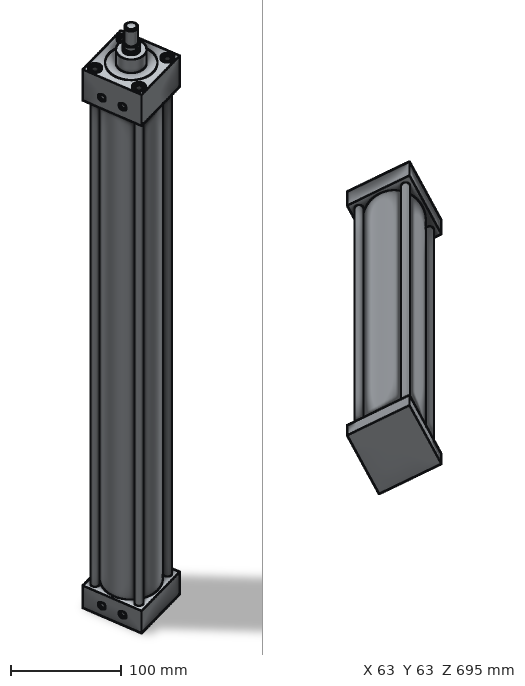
import cadquery as cq
import math

TOTAL_LENGTH = 695.0
HEAD_SIDE = 63.0
REAR_HEAD_TOP = 27.0
FRONT_HEAD_BOTTOM = 613.0
FRONT_HEAD_TOP = 651.0
NOSE_TOP = 667.0

BARREL_RADIUS = 28.5
TIE_ROD_RADIUS = 4.0
TIE_ROD_OFFSET = 23.5

NOSE_RADIUS = 14.0
RECESS_RADIUS = 23.5
RECESS_DEPTH = 0.35

MOUNTING_RADIUS = 3.5
MOUNTING_CHAMFER = 1.05
MOUNTING_DEPTH = 10.5
COUNTERBORE_RADIUS = 6.0
COUNTERBORE_DEPTH = 1.0

PORT_RADIUS = 3.0
PORT_CHAMFER = 1.5
PORT_DEPTH = 8.0
PORT_OFFSET = 11.0
FRONT_PORT_Z = 626.5
REAR_PORT_Z = 12.5

DRILL_POINT_ANGLE = 118.0

ROD_RADIUS = 8.0
ROD_BOTTOM = FRONT_HEAD_BOTTOM
GROOVE_RADIUS = 7.5
GROOVE_BOTTOM = 669.0
FLAT_BOTTOM = 671.0
ACROSS_FLATS = 14.5
SHOULDER_Z = 676.0
STUD_RADIUS = 6.0
STUD_CHAMFER = 1.5


def square_block(bottom, top):
    """Square head block on the Z axis."""
    return cq.Workplane("XY", origin=(0, 0, bottom)).rect(HEAD_SIDE, HEAD_SIDE).extrude(top - bottom)


def cylinder(radius, bottom, top):
    """Round cylinder on the Z axis."""
    return cq.Workplane("XY", origin=(0, 0, bottom)).circle(radius).extrude(top - bottom)


def drilled_hole(radius, chamfer, depth):
    """Cutter going down from the origin, with a chamfered mouth and a conical end."""
    tip = depth + radius / math.tan(math.radians(DRILL_POINT_ANGLE / 2))
    profile = [(0, 0), (radius + chamfer, 0), (radius, -chamfer), (radius, -depth), (0, -tip)]
    return cq.Workplane("XZ").polyline(profile).close().revolve(360, (0, 0, 0), (0, 1, 0))


def tie_rod_positions():
    """Centres of the four tie rods in XY."""
    return [(x, y) for x in (-TIE_ROD_OFFSET, TIE_ROD_OFFSET) for y in (-TIE_ROD_OFFSET, TIE_ROD_OFFSET)]


def make_heads_and_barrel():
    """Both square heads, joined by the barrel and the tie rods."""
    heads = square_block(0, REAR_HEAD_TOP).union(square_block(FRONT_HEAD_BOTTOM, FRONT_HEAD_TOP))
    joined = heads.union(cylinder(BARREL_RADIUS, REAR_HEAD_TOP, FRONT_HEAD_BOTTOM))
    tie_rod = cylinder(TIE_ROD_RADIUS, REAR_HEAD_TOP, FRONT_HEAD_BOTTOM)
    for x, y in tie_rod_positions():
        joined = joined.union(tie_rod.translate((x, y, 0)))
    return joined


def add_nose(housing):
    """Recess the top of the front head and raise the gland nose from the recess floor."""
    floor = FRONT_HEAD_TOP - RECESS_DEPTH
    recessed = housing.cut(cylinder(RECESS_RADIUS, floor, FRONT_HEAD_TOP))
    return recessed.union(cylinder(NOSE_RADIUS, floor, NOSE_TOP))


def cut_mounting_holes(housing):
    """Four chamfered holes going down into the front head, each from a shallow counterbore."""
    seat = FRONT_HEAD_TOP - COUNTERBORE_DEPTH
    counterbore = cylinder(COUNTERBORE_RADIUS, seat, FRONT_HEAD_TOP)
    hole = drilled_hole(MOUNTING_RADIUS, MOUNTING_CHAMFER, MOUNTING_DEPTH)
    for x, y in tie_rod_positions():
        housing = housing.cut(counterbore.translate((x, y, 0)))
        housing = housing.cut(hole.translate((x, y, seat)))
    return housing


def cut_ports(housing):
    """Two chamfered ports in the -Y face of each head."""
    port = drilled_hole(PORT_RADIUS, PORT_CHAMFER, PORT_DEPTH).rotate((0, 0, 0), (1, 0, 0), 90)
    for z in (REAR_PORT_Z, FRONT_PORT_Z):
        for x in (-PORT_OFFSET, PORT_OFFSET):
            housing = housing.cut(port.translate((x, -HEAD_SIDE / 2, z)))
    return housing


def make_housing():
    """Cylinder housing with a blind bore that the piston rod fills."""
    housing = add_nose(make_heads_and_barrel())
    housing = cut_mounting_holes(housing)
    housing = cut_ports(housing)
    return housing.cut(cylinder(ROD_RADIUS, ROD_BOTTOM, NOSE_TOP))


def make_piston_rod():
    """Piston rod with a groove, two wrench flats and a chamfered stud."""
    shank = cylinder(ROD_RADIUS, ROD_BOTTOM, GROOVE_BOTTOM)
    groove = cylinder(GROOVE_RADIUS, GROOVE_BOTTOM, FLAT_BOTTOM)
    flatted = cylinder(ROD_RADIUS, FLAT_BOTTOM, SHOULDER_Z).intersect(
        cq.Workplane("XY", origin=(0, 0, FLAT_BOTTOM))
        .rect(ACROSS_FLATS, 2 * ROD_RADIUS)
        .extrude(SHOULDER_Z - FLAT_BOTTOM)
    )
    stud = cylinder(STUD_RADIUS, SHOULDER_Z, TOTAL_LENGTH).faces(">Z").chamfer(STUD_CHAMFER)
    return shank.union(groove).union(flatted).union(stud)


housing = make_housing()
piston_rod = make_piston_rod()
result = cq.Compound.makeCompound([housing.val(), piston_rod.val()])